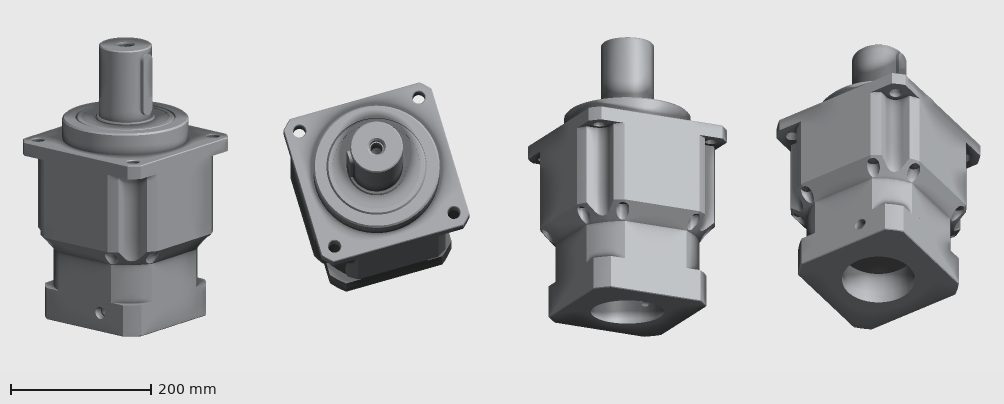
import cadquery as cq
import math

adapter_step_z = 46.5
adapter_top_z = 52.0
neck_lip_z = 97.5
neck_top_z = 102.5
taper_top_z = 127.5
stage_joint_z = 162.2
flange_bottom_z = 242.0
flange_top_z = 262.0
pilot_top_z = 293.0
collar_top_z = 295.5
shaft_top_z = 400.5

flange_width = 220.0
flange_half = flange_width / 2
flange_corner_radius = 146.0
body_corner_radius = 125.0
neck_half = 90.0
neck_corner_radius = 102.5
adapter_corner_radius = 115.0
flange_chamfer = 1.2
adapter_chamfer = 1.2

bolt_offset = 88.5
bolt_hole_radius = 9.0
bolt_hole_chamfer = 1.2
channel_wall = 73.0
channel_overrun = 4.0
channel_radius = bolt_offset - channel_wall

screw_circle_radius = 113.0
screw_pocket_radius = 9.2
screw_angle = 30.0

pilot_radius = 90.0
pilot_chamfer = 2.5
seal_groove_outer = 71.3
seal_groove_inner = 68.5
seal_groove_depth = 3.0
seal_recess_radius = 62.5
seal_recess_depth = 1.0

collar_radius = 42.5
collar_chamfer = 1.5
shaft_radius = 37.5
shaft_chamfer = 1.5
key_width = 20.0
key_length = 90.0
key_center_z = 348.5
key_inner_x = 30.0
key_outer_x = 41.5

center_mouth_radius = 13.2
center_relief_radius = 10.5
center_relief_depth = 10.5
center_tap_radius = 9.0
center_tap_depth = 40.0
drill_point_half_angle = 59.0

motor_bore_radius = 52.0
access_x = 29.0
access_z = 27.5
access_radius = 9.0
access_seat_radius = 6.5
access_inner_radius = 5.0
access_depth = 12.0


def square_outline(plane, half, corner_radius):
    """Square of the given half width whose corners are turned to a radius about the axis."""
    flat_end = math.sqrt(corner_radius**2 - half**2)
    diagonal = corner_radius * math.sqrt(0.5)
    return (
        plane.moveTo(half, -flat_end)
        .lineTo(half, flat_end)
        .threePointArc((diagonal, diagonal), (flat_end, half))
        .lineTo(-flat_end, half)
        .threePointArc((-diagonal, diagonal), (-half, flat_end))
        .lineTo(-half, -flat_end)
        .threePointArc((-diagonal, -diagonal), (-flat_end, -half))
        .lineTo(flat_end, -half)
        .threePointArc((diagonal, -diagonal), (half, -flat_end))
        .close()
    )


def square_prism(half, corner_radius, bottom_z, top_z):
    plane = cq.Workplane("XY", origin=(0, 0, bottom_z))
    return square_outline(plane, half, corner_radius).extrude(top_z - bottom_z)


def cylinder(radius, bottom_z, top_z):
    return cq.Workplane("XY", origin=(0, 0, bottom_z)).circle(radius).extrude(top_z - bottom_z)


def revolved(profile):
    """Solid turned about the Z axis from (radius, z) points."""
    return cq.Workplane("XZ").polyline(profile).close().revolve(360, (0, 0, 0), (0, 1, 0))


def corner_channels(bottom_z, top_z):
    """Square corner cutters, each with its inner edge rounded about the flange bolt axis."""
    reach = flange_half - channel_wall + channel_overrun
    center = channel_wall + reach / 2
    cutters = cq.Workplane("XY")
    for side_x in (-1, 1):
        for side_y in (-1, 1):
            block = (
                cq.Workplane("XY", origin=(side_x * center, side_y * center, bottom_z))
                .rect(reach, reach)
                .extrude(top_z - bottom_z)
            )
            inner_edge = "<X" if side_x > 0 else ">X"
            inner_edge += " and " + ("<Y" if side_y > 0 else ">Y")
            cutters = cutters.add(block.edges("|Z").edges(inner_edge).fillet(channel_radius))
    return cutters.combine()


def taper_prism():
    """Ruled transition from the neck section up to the body section."""
    neck_plane = cq.Workplane("XY", origin=(0, 0, neck_top_z))
    neck_end = square_outline(neck_plane, neck_half, neck_corner_radius)
    body_plane = neck_end.workplane(offset=taper_top_z - neck_top_z)
    return square_outline(body_plane, flange_half, body_corner_radius).loft(ruled=True)


def lower_stages():
    """Gear stage with its taper and neck lip, and the neck below it."""
    neck = square_prism(neck_half, neck_corner_radius, adapter_top_z, neck_lip_z)
    lip = square_prism(neck_half, neck_corner_radius, neck_lip_z, neck_top_z)
    gear_stage = square_prism(flange_half, body_corner_radius, taper_top_z, stage_joint_z)
    gear_stage = gear_stage.union(taper_prism()).union(lip)
    return [gear_stage.cut(corner_channels(neck_top_z, stage_joint_z)), neck]


def output_stage():
    """Body under the flange, the flange and the pilot as one block."""
    body = square_prism(flange_half, body_corner_radius, stage_joint_z, flange_bottom_z)
    body = body.cut(corner_channels(stage_joint_z, flange_bottom_z))
    flange = square_prism(flange_half, flange_corner_radius, flange_bottom_z, flange_top_z)
    flange = flange.faces(">Z").chamfer(flange_chamfer)
    pilot = cylinder(pilot_radius, flange_top_z, pilot_top_z).faces(">Z").chamfer(pilot_chamfer)
    return body.union(flange).union(pilot)


def flange_bolt_holes():
    """Cutters for the four flange holes, each with a chamfered mouth."""
    spacing = 2 * bolt_offset
    return (
        cq.Workplane("XY", origin=(0, 0, flange_bottom_z))
        .rect(spacing, spacing, forConstruction=True)
        .vertices()
        .circle(bolt_hole_radius)
        .extrude(flange_top_z - flange_bottom_z)
        .union(
            cq.Workplane("XY", origin=(0, 0, flange_top_z))
            .rect(spacing, spacing, forConstruction=True)
            .vertices()
            .circle(bolt_hole_radius + bolt_hole_chamfer)
            .extrude(-bolt_hole_chamfer, taper=45)
        )
    )


def screw_pockets():
    """Cutters for the eight round pockets, two on each side of the taper."""
    cutters = cq.Workplane("XY")
    for start_angle in (-screw_angle, screw_angle):
        cutters = cutters.add(
            cq.Workplane("XY", origin=(0, 0, neck_top_z))
            .polarArray(screw_circle_radius, start_angle, 360, 4)
            .circle(screw_pocket_radius)
            .extrude(taper_top_z - neck_top_z)
        )
    return cutters.combine()


def pilot_face_rings():
    """Cutters for the chamfer-shaped groove and the shallow seal recess in the pilot face."""
    seal_groove = revolved(
        [
            (seal_groove_inner, pilot_top_z),
            (seal_groove_outer, pilot_top_z),
            (seal_groove_outer, pilot_top_z - seal_groove_depth),
        ]
    )
    seal_recess = cylinder(seal_recess_radius, pilot_top_z - seal_recess_depth, pilot_top_z)
    return seal_groove.add(seal_recess).combine()


def make_housing():
    shaft_bore = cylinder(collar_radius, stage_joint_z, pilot_top_z)
    housing = output_stage()
    for stage in lower_stages():
        housing = housing.union(stage, clean=False)
    for cutter in (flange_bolt_holes(), screw_pockets(), pilot_face_rings(), shaft_bore):
        housing = housing.cut(cutter, clean=False)
    return housing


def make_adapter():
    base = square_prism(neck_half, adapter_corner_radius, 0, adapter_step_z)
    base = base.faces("<Z").chamfer(adapter_chamfer)
    seat = square_prism(neck_half, neck_corner_radius, adapter_step_z, adapter_top_z)
    motor_bore = cylinder(motor_bore_radius, 0, adapter_top_z)
    adapter = base.union(seat).cut(motor_bore)

    access_hole = (
        cq.Workplane("XY", origin=(access_x, -neck_half, access_z))
        .moveTo(0, 0)
        .lineTo(access_radius, 0)
        .lineTo(access_radius, access_depth)
        .lineTo(access_seat_radius, access_depth)
        .lineTo(access_inner_radius, access_depth + access_seat_radius - access_inner_radius)
        .lineTo(access_inner_radius, neck_half)
        .lineTo(0, neck_half)
        .close()
        .revolve(360, (0, 0, 0), (0, 1, 0))
    )
    return adapter.cut(access_hole)


def make_key():
    return (
        cq.Workplane("YZ", origin=(key_inner_x, 0, key_center_z))
        .slot2D(key_length, key_width, 90)
        .extrude(key_outer_x - key_inner_x)
    )


def center_hole():
    """Cutter for the countersunk, stepped centre hole with a drill-point bottom."""
    relief_bottom_z = shaft_top_z - center_relief_depth
    tap_bottom_z = shaft_top_z - center_tap_depth
    point_depth = center_tap_radius / math.tan(math.radians(drill_point_half_angle))
    return revolved(
        [
            (0, shaft_top_z),
            (center_mouth_radius, shaft_top_z),
            (center_relief_radius, shaft_top_z - (center_mouth_radius - center_relief_radius)),
            (center_relief_radius, relief_bottom_z),
            (center_tap_radius, relief_bottom_z),
            (center_tap_radius, tap_bottom_z),
            (0, tap_bottom_z - point_depth),
        ]
    )


def make_output_shaft(key):
    """Journal and shaft, with a keyway that fits the key."""
    journal = cylinder(collar_radius, stage_joint_z, collar_top_z)
    journal = journal.faces(">Z").chamfer(collar_chamfer)
    shaft = cylinder(shaft_radius, collar_top_z, shaft_top_z).faces(">Z").chamfer(shaft_chamfer)
    return journal.union(shaft).cut(center_hole()).cut(key)


housing = make_housing()
adapter = make_adapter()
key = make_key()
output_shaft = make_output_shaft(key)

bodies = [housing, adapter, output_shaft, key]
result = cq.Compound.makeCompound([body.solids().val() for body in bodies])